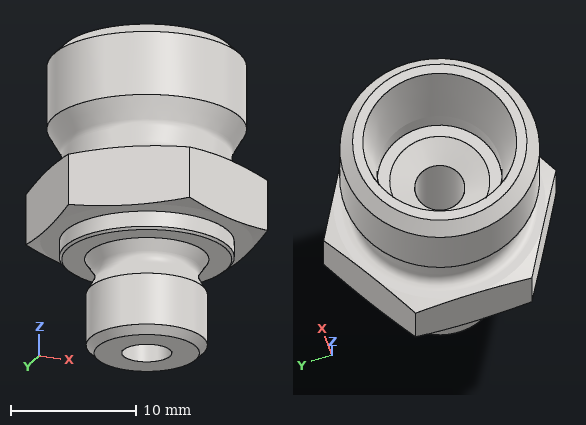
import cadquery as cq
import math

TOTAL_HEIGHT = 25.5
STUD_HEIGHT = 5.0
COLLAR_BOTTOM = 8.0
HEX_BOTTOM = 9.5
HEX_TOP = 14.5
NECK_TOP = 16.83

HEX_SIDES = 6
HEX_HALF_SECTOR = 180 / HEX_SIDES
HEX_ACROSS_FLATS = 17.0

STUD_DIAMETER = 9.73
STUD_GROOVE_DIAMETER = 8.3
COLLAR_DIAMETER = 14.0
NECK_DIAMETER = 13.7
HEAD_DIAMETER = 16.0

STUD_CHAMFER = 0.65
COLLAR_CHAMFER = 0.2
HEAD_CHAMFER = 1.03
HEX_CHAMFER_ANGLE = 15.0
UNDERCUT_RADIUS = 1.0
RUNOUT_ANGLE = 30.0
GROOVE_UPPER_ANGLE = 35.0
FILLET_MIDDLE_ANGLE = -45.0

SEAT_MOUTH_DIAMETER = 12.3
SEAT_HALF_ANGLE = 12.0
SOCKET_DIAMETER = 10.0
SOCKET_DEPTH = 7.0
FUNNEL_DIAMETER = 8.0
FUNNEL_HALF_ANGLE = 59.0
BORE_DIAMETER = 4.0


def sine(degrees):
    return math.sin(math.radians(degrees))


def cosine(degrees):
    return math.cos(math.radians(degrees))


def tangent(degrees):
    return math.tan(math.radians(degrees))


def undercut_point(floor_radius, centre_z, angle):
    """Point (radius, z) on an undercut arc; the angle is up from the deepest point."""
    radius = floor_radius + UNDERCUT_RADIUS * (1 - cosine(angle))
    return radius, centre_z + UNDERCUT_RADIUS * sine(angle)


def make_stud():
    """Lower stud with its undercut groove and the sealing collar under the hexagon."""
    stud_radius = STUD_DIAMETER / 2
    groove_radius = STUD_GROOVE_DIAMETER / 2
    collar_radius = COLLAR_DIAMETER / 2

    arc_start_radius = groove_radius + UNDERCUT_RADIUS * (1 - cosine(RUNOUT_ANGLE))
    arc_start_z = STUD_HEIGHT + (stud_radius - arc_start_radius) / tangent(RUNOUT_ANGLE)
    centre_z = arc_start_z + UNDERCUT_RADIUS * sine(RUNOUT_ANGLE)
    arc_end = undercut_point(groove_radius, centre_z, GROOVE_UPPER_ANGLE)
    flare_radius = arc_end[0] + (COLLAR_BOTTOM - arc_end[1]) * tangent(GROOVE_UPPER_ANGLE)

    profile = (
        cq.Workplane("XZ")
        .moveTo(0, 0)
        .lineTo(stud_radius - STUD_CHAMFER, 0)
        .lineTo(stud_radius, STUD_CHAMFER)
        .lineTo(stud_radius, STUD_HEIGHT)
        .lineTo(arc_start_radius, arc_start_z)
        .threePointArc((groove_radius, centre_z), arc_end)
        .lineTo(flare_radius, COLLAR_BOTTOM)
        .lineTo(collar_radius - COLLAR_CHAMFER, COLLAR_BOTTOM)
        .lineTo(collar_radius, COLLAR_BOTTOM + COLLAR_CHAMFER)
        .lineTo(collar_radius, HEX_BOTTOM)
        .lineTo(0, HEX_BOTTOM)
        .close()
    )
    return profile.revolve()


def make_hexagon():
    """Hexagon with flats facing +X and -X and its corners turned conical at both ends."""
    flat_radius = HEX_ACROSS_FLATS / 2
    corner_radius = flat_radius / cosine(HEX_HALF_SECTOR)
    corner_drop = (corner_radius - flat_radius) * tangent(HEX_CHAMFER_ANGLE)

    prism = (
        cq.Workplane("XY")
        .workplane(offset=HEX_BOTTOM)
        .polygon(HEX_SIDES, 2 * corner_radius)
        .extrude(HEX_TOP - HEX_BOTTOM)
        .rotate((0, 0, 0), (0, 0, 1), HEX_HALF_SECTOR)
    )
    turned_blank = (
        cq.Workplane("XZ")
        .moveTo(0, HEX_BOTTOM)
        .lineTo(flat_radius, HEX_BOTTOM)
        .lineTo(corner_radius, HEX_BOTTOM + corner_drop)
        .lineTo(corner_radius, HEX_TOP - corner_drop)
        .lineTo(flat_radius, HEX_TOP)
        .lineTo(0, HEX_TOP)
        .close()
        .revolve()
    )
    return prism.intersect(turned_blank)


def make_head():
    """Upper head on a neck that is filleted into the top of the hexagon."""
    neck_radius = NECK_DIAMETER / 2
    head_radius = HEAD_DIAMETER / 2

    fillet_middle = undercut_point(neck_radius, HEX_TOP + UNDERCUT_RADIUS, FILLET_MIDDLE_ANGLE)
    runout_middle = undercut_point(neck_radius, NECK_TOP, RUNOUT_ANGLE / 2)
    runout_end = undercut_point(neck_radius, NECK_TOP, RUNOUT_ANGLE)
    head_bottom = runout_end[1] + (head_radius - runout_end[0]) / tangent(RUNOUT_ANGLE)

    profile = (
        cq.Workplane("XZ")
        .moveTo(0, HEX_TOP)
        .lineTo(neck_radius + UNDERCUT_RADIUS, HEX_TOP)
        .threePointArc(fillet_middle, (neck_radius, HEX_TOP + UNDERCUT_RADIUS))
        .lineTo(neck_radius, NECK_TOP)
        .threePointArc(runout_middle, runout_end)
        .lineTo(head_radius, head_bottom)
        .lineTo(head_radius, TOTAL_HEIGHT - HEAD_CHAMFER)
        .lineTo(head_radius - HEAD_CHAMFER, TOTAL_HEIGHT)
        .lineTo(0, TOTAL_HEIGHT)
        .close()
    )
    return profile.revolve()


def make_bore():
    """Conical seat, flat-bottomed socket and funnel leading into the through bore."""
    mouth_radius = SEAT_MOUTH_DIAMETER / 2
    socket_radius = SOCKET_DIAMETER / 2
    funnel_radius = FUNNEL_DIAMETER / 2
    bore_radius = BORE_DIAMETER / 2

    seat_bottom = TOTAL_HEIGHT - (mouth_radius - socket_radius) / tangent(SEAT_HALF_ANGLE)
    socket_floor = TOTAL_HEIGHT - SOCKET_DEPTH
    funnel_bottom = socket_floor - (funnel_radius - bore_radius) / tangent(FUNNEL_HALF_ANGLE)

    profile = (
        cq.Workplane("XZ")
        .moveTo(0, 0)
        .lineTo(bore_radius, 0)
        .lineTo(bore_radius, funnel_bottom)
        .lineTo(funnel_radius, socket_floor)
        .lineTo(socket_radius, socket_floor)
        .lineTo(socket_radius, seat_bottom)
        .lineTo(mouth_radius, TOTAL_HEIGHT)
        .lineTo(0, TOTAL_HEIGHT)
        .close()
    )
    return profile.revolve()


body = make_stud().union(make_hexagon()).union(make_head())
result = body.cut(make_bore())